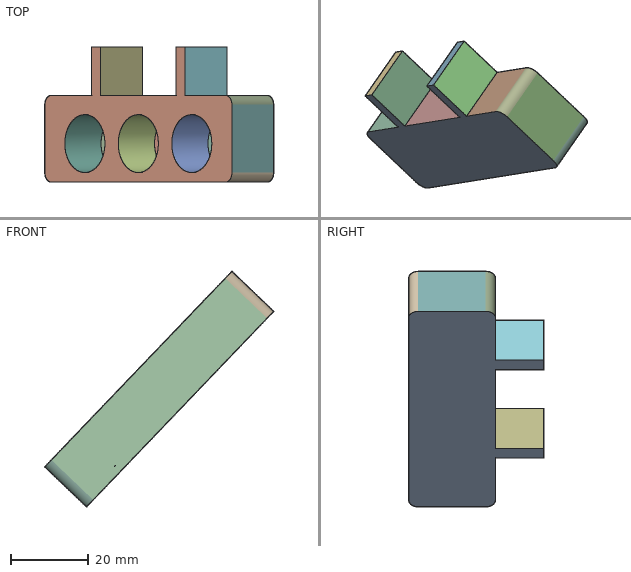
import cadquery as cq

LENGTH = 70.05
WIDTH = 22.5
THICKNESS = 15.0
CORNER_RADIUS = 2.5
TILT_ANGLE = 46.25

HOLE_DIAMETER = 15.0
HOLE_DEPTH = 13.0
HOLE_COUNT = 3
HOLE_PITCH = 20.0
HOLE_CENTRE_Y = 10.0

TAB_THICKNESS = 3.5
TAB_REACH = 12.5
TAB_SPACING = 31.6


def make_block():
    """Block with rounded vertical corners, centred on X, front at Y = 0."""
    block = cq.Workplane("XY").box(LENGTH, WIDTH, THICKNESS, centered=(True, False, False))
    return block.edges("|Z").fillet(CORNER_RADIUS)


def make_holes():
    """Row of flat-bottomed cylinders reaching down from the upper face."""
    return (
        cq.Workplane("XY", origin=(0, HOLE_CENTRE_Y, THICKNESS))
        .rarray(HOLE_PITCH, 0.6, HOLE_COUNT, 1)
        .circle(HOLE_DIAMETER / 2)
        .extrude(-HOLE_DEPTH)
    )


def make_tab(centre_x):
    """Full-thickness plate standing out from the back face."""
    return (
        cq.Workplane("XY", origin=(centre_x, WIDTH, 0))
        .box(TAB_THICKNESS, TAB_REACH, THICKNESS, centered=(True, False, False))
    )


part = make_block().cut(make_holes())
for side in (-1, 1):
    part = part.union(make_tab(side * TAB_SPACING / 2))

result = part.rotate((0, 0, 0), (0, 1, 0), -TILT_ANGLE)